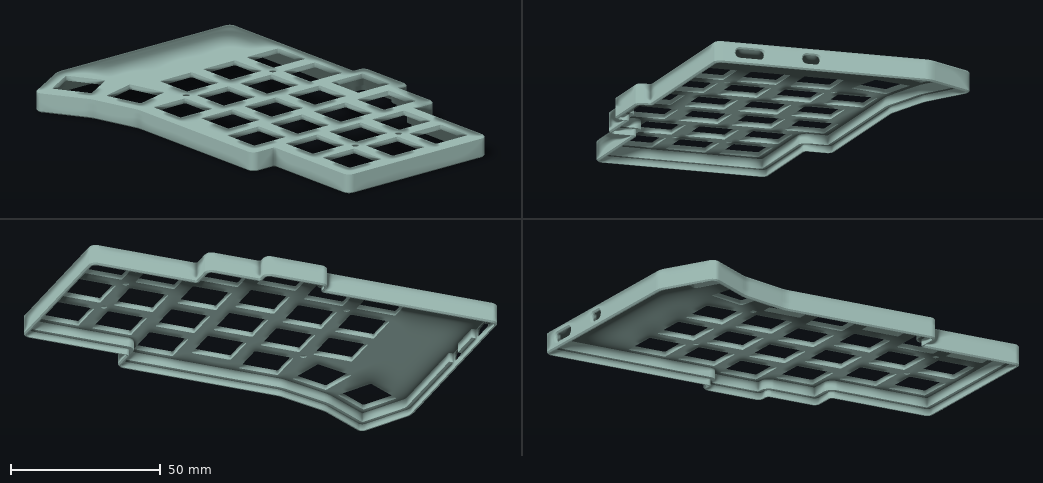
import cadquery as cq
import math


length = 143.5
depth = 99.0
height = 7.3
plate_thickness = 1.7
wall = 2.6
lip = 1.0
recess_depth = 2.3

key_window = 14.0
window_radius = 0.5
key_margin = 11.6
first_column_x = 37.0
last_column_x = length - key_margin
top_key_y = depth - key_margin
column_drops = [0.25, 0.25, 0.0, 0.25, 0.75, 0.75]
column_keys = [3, 4, 4, 4, 3, 3]
key_pitch = (last_column_x - first_column_x) / (len(column_keys) - 1)

inner_thumb = (34.7, 23.0, 15.0)
outer_thumb = (15.0, 14.9, 30.0)

corner_radius = wall
notch_radius = 0.5
thumb_bend_radius = 10.0
side_bend_radius = 7.5
rim_chamfer = 0.5

screw_diameter = 2.2
screw_chamfer = 0.3
screw_places = [(0, 0), (0, 2), (4, 0), (4, 1)]

wall_slots = [(depth - 17.1, 10.2), (depth - 38.9, 6.2)]
slot_height = 3.0
slot_chamfer = 0.5
relief_margin = 0.7


def column_x(column):
    return first_column_x + column * key_pitch


def key_y(column, row):
    return top_key_y - (column_drops[column] + row) * key_pitch


def thumb_line(thumb, side_angle):
    """Outer face beside a thumb key, as (normal x, normal y, distance from the origin)."""
    x, y, rotation = thumb
    angle = math.radians(rotation + side_angle)
    nx, ny = math.cos(angle), math.sin(angle)
    return nx, ny, nx * x + ny * y + key_margin


def crossing(line_a, line_b):
    ax, ay, a = line_a
    bx, by, b = line_b
    det = ax * by - ay * bx
    return (a * by - b * ay) / det, (ax * b - bx * a) / det


def outline_corners():
    """Sharp corners of the outline with their radii, clockwise from the upper left."""
    bump_left = column_x(2) - key_margin
    bump_right = column_x(2) + key_margin
    main_right = column_x(3) + key_margin
    main_top = key_y(3, 0) + key_margin
    main_bottom = key_y(3, column_keys[3] - 1) - key_margin
    block_top = key_y(5, 0) + key_margin
    block_bottom = key_y(5, column_keys[5] - 1) - key_margin

    left_face = (-1.0, 0.0, 0.0)
    bottom_face = (0.0, -1.0, -main_bottom)
    inner_thumb_face = thumb_line(inner_thumb, -90)
    outer_thumb_face = thumb_line(outer_thumb, -90)
    thumb_end_face = thumb_line(outer_thumb, 180)

    return [
        ((0.0, main_top), corner_radius),
        ((bump_left, main_top), notch_radius),
        ((bump_left, depth), corner_radius),
        ((bump_right, depth), corner_radius),
        ((bump_right, main_top), notch_radius),
        ((main_right, main_top), corner_radius),
        ((main_right, block_top), notch_radius),
        ((length, block_top), corner_radius),
        ((length, block_bottom), corner_radius),
        ((main_right, block_bottom), notch_radius),
        ((main_right, main_bottom), corner_radius),
        (crossing(bottom_face, inner_thumb_face), thumb_bend_radius),
        (crossing(inner_thumb_face, outer_thumb_face), thumb_bend_radius),
        (crossing(outer_thumb_face, thumb_end_face), corner_radius),
        (crossing(thumb_end_face, left_face), side_bend_radius),
    ]


def rounded_block():
    corners = outline_corners()
    block = cq.Workplane("XY").polyline([point for point, _ in corners]).close().extrude(height)
    for (x, y), radius in corners:
        corner_edge = cq.NearestToPointSelector((x, y, height / 2))
        block = block.edges("|Z").edges(corner_edge).fillet(radius)
    return block


def inset_hollow(block, inset, hollow_height):
    """Hollow rising from the underside, following the outline at a constant inset."""
    outline = block.faces("<Z").wires().val()
    return cq.Workplane("XY").add(outline).toPending().offset2D(-inset).extrude(hollow_height)


def key_opening(x, y, rotation=0.0):
    opening = cq.Workplane("XY").rect(key_window, key_window).extrude(height)
    opening = opening.edges("|Z").fillet(window_radius)
    return opening.rotate((0, 0, 0), (0, 0, 1), rotation).translate((x, y, 0))


def screw_hole(column, row):
    x = column_x(column) + key_pitch / 2
    y = key_y(column, row) - key_pitch / 2
    hole = cq.Workplane("XY").circle(screw_diameter / 2).extrude(height)
    countersink = cq.Workplane("XY", origin=(0, 0, height)).circle(screw_diameter / 2 + screw_chamfer)
    hole = hole.union(countersink.extrude(-screw_chamfer, taper=45))
    return hole.translate((x, y, 0))


def wall_slot(y, slot_length):
    """Rounded slot through the left wall, widened by a chamfer at the outer face."""
    mouth_length = slot_length + 2 * slot_chamfer
    mouth_height = slot_height + 2 * slot_chamfer
    center = (0, y, height / 2)
    through = cq.Workplane("YZ", origin=center).slot2D(slot_length, slot_height).extrude(2 * wall)
    mouth = cq.Workplane("YZ", origin=center).slot2D(mouth_length, mouth_height)
    mouth = mouth.extrude(slot_chamfer, taper=45)
    return through.union(mouth)


def connector_relief(y, slot_length):
    """Pocket behind a slot that thins the left wall to the lip, from the underside to the plate."""
    relief_width = slot_length + 2 * relief_margin
    relief = cq.Workplane("XY").center(wall, y).rect(2 * (wall - lip), relief_width)
    return relief.extrude(height - plate_thickness)


block = rounded_block()
result = block.faces("<Z or >Z").chamfer(rim_chamfer)
result = result.cut(inset_hollow(block, wall, height - plate_thickness))
result = result.cut(inset_hollow(block, lip, recess_depth))

for column, key_count in enumerate(column_keys):
    for row in range(key_count):
        result = result.cut(key_opening(column_x(column), key_y(column, row)))

for thumb in (inner_thumb, outer_thumb):
    result = result.cut(key_opening(*thumb))

for column, row in screw_places:
    result = result.cut(screw_hole(column, row))

for y, slot_length in wall_slots:
    result = result.cut(wall_slot(y, slot_length))
    result = result.cut(connector_relief(y, slot_length))